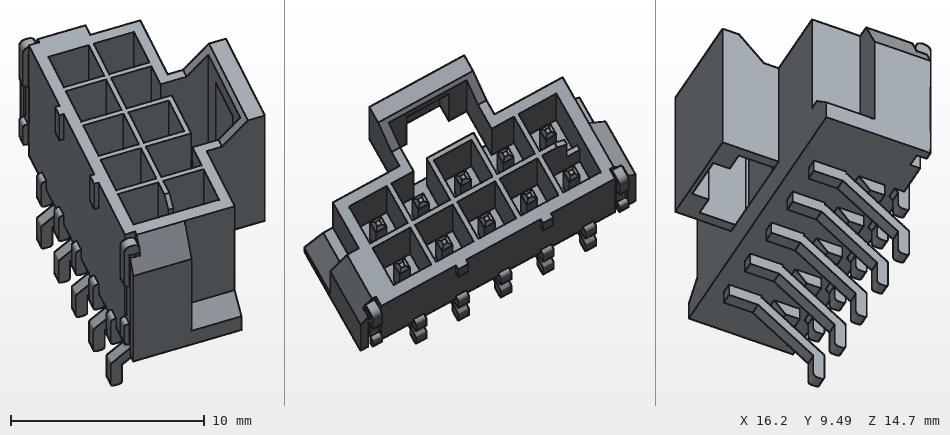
import cadquery as cq
import math


OVERALL_WIDTH = 16.24
HOUSING_DEPTH = 5.98
HOUSING_HEIGHT = 8.7
SHELL_LEFT = -6.43
SHELL_RIGHT = 7.13

FLANK_DEPTH = 3.22
FLANK_TOP_HALF_WIDTH = 7.13
FLANK_SHOULDER_Z = 6.75
REAR_FOOT_SHOULDER_Z = 1.09
REAR_FOOT_HALF_WIDTH = 7.0

COLUMNS = 5
ROWS = 2
PITCH = 2.5
CONTACT_CENTER_X = 0.31
FRONT_ROW_Y = 1.77
CELL_SIZE = 2.22
CELL_FLOOR_Z = 1.85
RIB_THICKNESS = PITCH - CELL_SIZE

NOTCH_EDGE_GAP = 0.76
NOTCH_BEVEL = 0.58
NOTCH_FLOOR_Z = 4.87

LATCH_BACK_Y = 9.19
LATCH_TOP_Z = 10.18
LATCH_BACK_THICKNESS = 1.17
LATCH_SIDE_THICKNESS = 0.5
LATCH_TOP_LAND = 0.95
LATCH_SLOPE_END_Y = 6.82
CATCH_WIDTH = 2.48
CATCH_DEPTH = 0.95
CATCH_TOP_Z = 8.88

KEY_WIDTH = 0.6
KEY_DEPTH = 0.25
KEY_BOTTOM_Z = 6.7
LATCH_WIDTH = 2 * PITCH + KEY_WIDTH

CLIP_CENTER_X = 7.28
CLIP_WIDTH = 0.55
CLIP_SLOT_WIDTH = 0.76
CLIP_SLOT_DEPTH = 0.57
CLIP_TOP_Z = 8.46
CLIP_HOOK_RADIUS = 0.37
CLIP_HOOK_UNDERSIDE_Z = 7.75
CLIP_UPPER_BEND_Z = 5.38
CLIP_LOWER_BEND_Z = 2.37
CLIP_BOTTOM_Z = 0.75
CLIP_BEND_RADIUS = 0.18

PIN_SIZE = 0.63
PIN_PROTRUSION = 0.3
PIN_TIP_Z = 6.5
PIN_TIP_HEIGHT = 0.32
PIN_TIP_TAPER = 0.2
TAIL_ROUNDING = 0.2
LEG_BOTTOM_Z = -0.75
LEG_SLOPE = math.radians(36.3)

REAR_LEG_BACK_Y = 5.18
REAR_LEG_FRONT_Y = 3.31
REAR_LEG_GAP = 0.11
REAR_TAIL_BOTTOM_Z = -4.56
REAR_TAIL_ELBOW_RADIUS = 0.16

FRONT_LEG_BACK_Y = 2.6
FRONT_LEG_HEEL_Y = 1.95
FRONT_LEG_FRONT_Y = 1.12
FRONT_TAIL_TOP_Z = 0.71
FRONT_TAIL_SHOULDER_RADIUS = 0.25
FRONT_TAIL_BOTTOM_Z = -1.27
FRONT_TAIL_GUSSET = 0.21

COLUMN_XS = [CONTACT_CENTER_X + PITCH * (i - (COLUMNS - 1) / 2) for i in range(COLUMNS)]
ROW_YS = [FRONT_ROW_Y + PITCH * i for i in range(ROWS)]
CELLS_BACK_Y = ROW_YS[-1] + CELL_SIZE / 2
LATCH_INNER_WIDTH = LATCH_WIDTH - 2 * LATCH_SIDE_THICKNESS
LATCH_INNER_BACK_Y = LATCH_BACK_Y - LATCH_BACK_THICKNESS


def block(x_range, y_range, z_range):
    """Axis-aligned box between pairs of limits."""
    size = [high - low for low, high in (x_range, y_range, z_range)]
    return cq.Workplane("XY").box(*size, centered=False).translate((x_range[0], y_range[0], z_range[0]))


def centered_range(center, width):
    return center - width / 2, center + width / 2


def extrude_along_y(points, y_start, y_end):
    """Extrude an XZ outline from y_start to y_end."""
    return cq.Workplane("XZ", origin=(0, y_start, 0)).polyline(points).close().extrude(y_start - y_end)


def side_profile(center_x, width):
    """YZ workplane set so that an extrusion of the given width is centered on center_x."""
    return cq.Workplane("YZ", origin=(center_x - width / 2, 0, 0))


def make_housing_blank():
    shell = block((SHELL_LEFT, SHELL_RIGHT), (0, HOUSING_DEPTH), (0, HOUSING_HEIGHT))
    half = OVERALL_WIDTH / 2
    flanks = extrude_along_y(
        [
            (-half, 0),
            (-half, FLANK_SHOULDER_Z),
            (-FLANK_TOP_HALF_WIDTH, HOUSING_HEIGHT),
            (FLANK_TOP_HALF_WIDTH, HOUSING_HEIGHT),
            (half, FLANK_SHOULDER_Z),
            (half, 0),
        ],
        0,
        FLANK_DEPTH,
    )
    rear_foot_top = REAR_FOOT_SHOULDER_Z + half - REAR_FOOT_HALF_WIDTH
    rear_foot = extrude_along_y(
        [
            (-half, 0),
            (-half, REAR_FOOT_SHOULDER_Z),
            (-REAR_FOOT_HALF_WIDTH, rear_foot_top),
            (REAR_FOOT_HALF_WIDTH, rear_foot_top),
            (half, REAR_FOOT_SHOULDER_Z),
            (half, 0),
        ],
        FLANK_DEPTH,
        HOUSING_DEPTH,
    )
    return shell.union(flanks).union(rear_foot)


def make_latch():
    """Closed block of the latch loop, with a sloped top."""
    outline = [
        (HOUSING_DEPTH, CELL_FLOOR_Z),
        (LATCH_BACK_Y, CELL_FLOOR_Z),
        (LATCH_BACK_Y, LATCH_TOP_Z),
        (LATCH_BACK_Y - LATCH_TOP_LAND, LATCH_TOP_Z),
        (LATCH_SLOPE_END_Y, HOUSING_HEIGHT),
        (HOUSING_DEPTH, HOUSING_HEIGHT),
    ]
    return side_profile(CONTACT_CENTER_X, LATCH_WIDTH).polyline(outline).close().extrude(LATCH_WIDTH)


def make_latch_opening():
    """Space inside the loop, reaching through the rear wall, plus the catch pocket."""
    opening = block(
        centered_range(CONTACT_CENTER_X, LATCH_INNER_WIDTH),
        (CELLS_BACK_Y, LATCH_INNER_BACK_Y),
        (CELL_FLOOR_Z, LATCH_TOP_Z),
    )
    catch = block(
        centered_range(CONTACT_CENTER_X, CATCH_WIDTH),
        (LATCH_INNER_BACK_Y, LATCH_INNER_BACK_Y + CATCH_DEPTH),
        (CELL_FLOOR_Z, CATCH_TOP_Z),
    )
    return opening.union(catch)


def make_middle_cell_wall():
    """Rear wall of the middle cell, standing inside the latch opening."""
    return block(
        centered_range(CONTACT_CENTER_X, CELL_SIZE + 2 * RIB_THICKNESS),
        (CELLS_BACK_Y, CELLS_BACK_Y + RIB_THICKNESS),
        (CELL_FLOOR_Z, HOUSING_HEIGHT),
    )


def make_cells():
    cell_centers = [(x, y) for x in COLUMN_XS for y in ROW_YS]
    return (
        cq.Workplane("XY", origin=(0, 0, CELL_FLOOR_Z))
        .pushPoints(cell_centers)
        .rect(CELL_SIZE, CELL_SIZE)
        .extrude(HOUSING_HEIGHT - CELL_FLOOR_Z)
    )


def make_rib_notch():
    cell_right = COLUMN_XS[-1] + CELL_SIZE / 2
    rib_end = cell_right - NOTCH_EDGE_GAP
    rib_front = ROW_YS[0] + CELL_SIZE / 2
    outline = [
        (rib_end - NOTCH_BEVEL, HOUSING_HEIGHT),
        (rib_end, HOUSING_HEIGHT - NOTCH_BEVEL),
        (rib_end, NOTCH_FLOOR_Z),
        (cell_right, NOTCH_FLOOR_Z),
        (cell_right, HOUSING_HEIGHT),
    ]
    return extrude_along_y(outline, rib_front, rib_front + RIB_THICKNESS)


def make_key(column_x):
    return block(
        centered_range(column_x, KEY_WIDTH),
        (-KEY_DEPTH, 0),
        (KEY_BOTTOM_Z, HOUSING_HEIGHT),
    )


def make_clip_slot(center_x):
    return block(
        centered_range(center_x, CLIP_SLOT_WIDTH),
        (0, CLIP_SLOT_DEPTH),
        (0, HOUSING_HEIGHT),
    )


def make_clip(center_x):
    """Bent strip hooked onto the slot wall, with its middle stretch set back into the slot."""
    front = -PIN_PROTRUSION
    bend = CLIP_BEND_RADIUS
    set_back = 2 * bend
    diagonal = bend * math.sqrt(0.5)
    hook_arc = CLIP_HOOK_RADIUS * (1 - math.sqrt(0.5))
    foot_arc = PIN_PROTRUSION * math.sqrt(0.5)
    return (
        side_profile(center_x, CLIP_WIDTH)
        .moveTo(CLIP_SLOT_DEPTH, CLIP_HOOK_UNDERSIDE_Z)
        .lineTo(CLIP_SLOT_DEPTH, CLIP_TOP_Z - CLIP_HOOK_RADIUS)
        .threePointArc(
            (CLIP_SLOT_DEPTH - hook_arc, CLIP_TOP_Z - hook_arc),
            (CLIP_SLOT_DEPTH - CLIP_HOOK_RADIUS, CLIP_TOP_Z),
        )
        .lineTo(front + CLIP_HOOK_RADIUS, CLIP_TOP_Z)
        .threePointArc(
            (front + hook_arc, CLIP_TOP_Z - hook_arc),
            (front, CLIP_TOP_Z - CLIP_HOOK_RADIUS),
        )
        .lineTo(front, CLIP_UPPER_BEND_Z + bend)
        .threePointArc(
            (front + bend - diagonal, CLIP_UPPER_BEND_Z + bend - diagonal),
            (front + bend, CLIP_UPPER_BEND_Z),
        )
        .threePointArc(
            (front + bend + diagonal, CLIP_UPPER_BEND_Z - bend + diagonal),
            (front + set_back, CLIP_UPPER_BEND_Z - bend),
        )
        .lineTo(front + set_back, CLIP_LOWER_BEND_Z + bend)
        .threePointArc(
            (front + bend + diagonal, CLIP_LOWER_BEND_Z + bend - diagonal),
            (front + bend, CLIP_LOWER_BEND_Z),
        )
        .threePointArc(
            (front + bend - diagonal, CLIP_LOWER_BEND_Z - bend + diagonal),
            (front, CLIP_LOWER_BEND_Z - bend),
        )
        .lineTo(front, CLIP_BOTTOM_Z + PIN_PROTRUSION)
        .threePointArc((-foot_arc, CLIP_BOTTOM_Z + PIN_PROTRUSION - foot_arc), (0, CLIP_BOTTOM_Z))
        .lineTo(0, CLIP_LOWER_BEND_Z)
        .lineTo(set_back, CLIP_LOWER_BEND_Z + set_back)
        .lineTo(set_back, CLIP_UPPER_BEND_Z - set_back)
        .lineTo(0, CLIP_UPPER_BEND_Z)
        .lineTo(0, CLIP_HOOK_UNDERSIDE_Z)
        .close()
        .extrude(CLIP_WIDTH)
    )


def make_pin_post(x, y):
    """Square contact post standing on the cell floor, with a pyramidal tip."""
    tip_size = PIN_SIZE - 2 * PIN_TIP_TAPER
    shaft = block(
        centered_range(x, PIN_SIZE),
        centered_range(y, PIN_SIZE),
        (CELL_FLOOR_Z, PIN_TIP_Z - PIN_TIP_HEIGHT),
    )
    tip = (
        cq.Workplane("XY", origin=(x, y, PIN_TIP_Z - PIN_TIP_HEIGHT))
        .rect(PIN_SIZE, PIN_SIZE)
        .workplane(offset=PIN_TIP_HEIGHT)
        .rect(tip_size, tip_size)
        .loft()
    )
    return shaft.union(tip)


def make_rear_tail(x):
    """Leg under the rear row, sloping forward and down to a vertical tail."""
    tail_front = -PIN_PROTRUSION
    tail_back = tail_front + PIN_SIZE
    slope = math.tan(LEG_SLOPE)
    upper_elbow_z = -REAR_LEG_GAP - slope * (REAR_LEG_FRONT_Y - tail_front)
    leg_thickness = -LEG_BOTTOM_Z - REAR_LEG_GAP
    lower_start_y = REAR_LEG_FRONT_Y + leg_thickness * math.tan(LEG_SLOPE / 2)
    lower_elbow_z = LEG_BOTTOM_Z - slope * (lower_start_y - tail_back)
    outline = [
        (REAR_LEG_BACK_Y, 0),
        (REAR_LEG_BACK_Y, LEG_BOTTOM_Z),
        (lower_start_y, LEG_BOTTOM_Z),
        (tail_back, lower_elbow_z),
        (tail_back, REAR_TAIL_BOTTOM_Z),
        (tail_front, REAR_TAIL_BOTTOM_Z),
        (tail_front, upper_elbow_z),
        (REAR_LEG_FRONT_Y, -REAR_LEG_GAP),
        (REAR_LEG_FRONT_Y, 0),
    ]
    tail = side_profile(x, PIN_SIZE).polyline(outline).close().extrude(PIN_SIZE)
    tail = tail.faces("<Z").edges("|X").fillet(TAIL_ROUNDING)
    return tail.faces("<Y").edges(">Z").fillet(REAR_TAIL_ELBOW_RADIUS)


def make_front_leg(x):
    """Short leg dipping below the housing under the front row."""
    outline = [
        (FRONT_LEG_BACK_Y, 0),
        (FRONT_LEG_HEEL_Y, LEG_BOTTOM_Z),
        (FRONT_LEG_FRONT_Y, LEG_BOTTOM_Z),
        (FRONT_LEG_FRONT_Y, 0),
    ]
    return side_profile(x, PIN_SIZE).polyline(outline).close().extrude(PIN_SIZE)


def make_front_tail(x):
    """Vertical tail of the front row, emerging through the lower front edge."""
    tail_front = -PIN_PROTRUSION
    tail_back = tail_front + PIN_SIZE
    outline = [
        (tail_front, FRONT_TAIL_TOP_Z),
        (tail_front, FRONT_TAIL_BOTTOM_Z),
        (tail_back, FRONT_TAIL_BOTTOM_Z),
        (tail_back, -FRONT_TAIL_GUSSET),
        (tail_back + FRONT_TAIL_GUSSET, 0),
        (tail_back + FRONT_TAIL_GUSSET, FRONT_TAIL_TOP_Z),
    ]
    tail = side_profile(x, PIN_SIZE).polyline(outline).close().extrude(PIN_SIZE)
    tail = tail.faces("<Z").edges("|X").fillet(TAIL_ROUNDING)
    return tail.faces("<Y").edges(">Z").fillet(FRONT_TAIL_SHOULDER_RADIUS)


result = make_housing_blank().union(make_latch())
result = result.cut(make_latch_opening()).union(make_middle_cell_wall())
result = result.cut(make_cells()).cut(make_rib_notch())

for key_x in (COLUMN_XS[1], COLUMN_XS[-2]):
    result = result.union(make_key(key_x))

for clip_x in (-CLIP_CENTER_X, CLIP_CENTER_X):
    result = result.cut(make_clip_slot(clip_x)).union(make_clip(clip_x))

for pin_x in COLUMN_XS:
    for pin_y in ROW_YS:
        result = result.union(make_pin_post(pin_x, pin_y))
    result = result.union(make_rear_tail(pin_x))
    result = result.union(make_front_leg(pin_x))
    result = result.union(make_front_tail(pin_x))